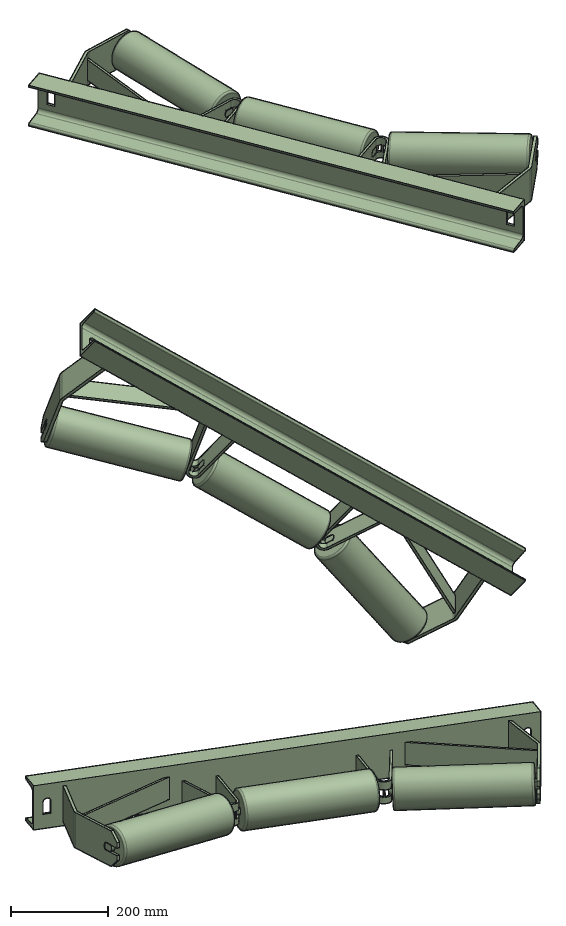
import cadquery as cq
import math

CHANNEL_LENGTH = 1100
CHANNEL_HEIGHT = 100.0
CHANNEL_DEPTH = 51.0
WEB = 6.0
FLANGE_TIP = 7.0
FLANGE_ROOT = 10.0
ROOT_RADIUS = 9.0
TIP_RADIUS = 4.0

WEB_SLOT_SPACING = 1042.0
WEB_SLOT_WIDTH = 18.0
WEB_SLOT_HEIGHT = 35.0

ROLLER_DIAMETER = 89.0
ROLLER_LENGTH = 292.0
RIM_RADIUS = 4.0
SHAFT_DIAMETER = 22
SHAFT_ACROSS_FLATS = 16.0
SHAFT_LENGTH = 309.0
MIDDLE_ROLLER_Y = 167.0
MIDDLE_ROLLER_Z = -14.0
SIDE_ROLLER_X = 322.0
SIDE_ROLLER_Y = 225.0
SIDE_ROLLER_Z = -8.0
TROUGH_ANGLE = 20
TILT_ANGLE = 2.6

OUTER_BRACKET_HEIGHT = 80.0
INNER_BRACKET_HEIGHT = 50.0
INNER_BRACKET_TOP = 12.0
OUTER_PLATE = 7.0
INNER_PLATE = 5.0
SHAFT_SLOT_REACH = 66
INNER_LEG_X = 152.0
INNER_BEND_RADIUS = 13.8
INNER_BEND_TOP = 189.0
OUTER_FOOT_X = 483.0
OUTER_BEND_X = 503.0
OUTER_BEND_Y = 177.0
OUTER_TIP_Y = 307.0
OUTER_BEND_INSIDE_RADIUS = 11
TIP_CHAMFER = 20.0

BRACE_HEIGHT = 51.0
BRACE = 5.0
BRACE_FOOT_X = 255.0

SIDES = (-1, 1)
trough = math.radians(TROUGH_ANGLE)
tilt = math.radians(TILT_ANGLE)


def make_channel():
    half = CHANNEL_HEIGHT / 2
    lower_half = [
        (CHANNEL_DEPTH, -half),
        (0, -half),
        (0, -half + FLANGE_TIP),
        (CHANNEL_DEPTH - WEB, -half + FLANGE_ROOT),
    ]
    upper_half = [(y, -z) for y, z in reversed(lower_half)]
    channel = (
        cq.Workplane("YZ")
        .polyline(lower_half + upper_half)
        .close()
        .extrude(CHANNEL_LENGTH / 2, both=True)
    )

    def edges_at(y, z):
        """The two lengthwise edges at y, above and below mid-height by z."""
        reach = 0.1
        lengthwise = cq.selectors.BoxSelector(
            (-CHANNEL_LENGTH, y - reach, -z - reach), (CHANNEL_LENGTH, y + reach, z + reach)
        )
        return channel.edges("|X").edges(lengthwise)

    channel = edges_at(CHANNEL_DEPTH - WEB, half - FLANGE_ROOT).fillet(ROOT_RADIUS)
    channel = edges_at(0, half - FLANGE_TIP).fillet(TIP_RADIUS)

    slot_radius = WEB_SLOT_WIDTH / 2
    shoulder = WEB_SLOT_HEIGHT / 2 - slot_radius
    for side in SIDES:
        slot = (
            cq.Workplane("XZ", origin=(side * WEB_SLOT_SPACING / 2, 0, 0))
            .moveTo(-slot_radius, -WEB_SLOT_HEIGHT / 2)
            .lineTo(slot_radius, -WEB_SLOT_HEIGHT / 2)
            .lineTo(slot_radius, shoulder)
            .threePointArc((0, WEB_SLOT_HEIGHT / 2), (-slot_radius, shoulder))
            .close()
            .extrude(-CHANNEL_DEPTH)
        )
        channel = channel.cut(slot)
    return channel


def roller_plane(side, reach):
    """Plane across a roller, reach before mid-length: X is the slot direction, the normal the axis."""
    if side == 0:
        return cq.Plane((-reach, MIDDLE_ROLLER_Y, MIDDLE_ROLLER_Z), (0, 1, 0), (1, 0, 0))
    axis = cq.Vector(
        side * math.cos(trough) * math.cos(tilt),
        math.sin(trough) * math.cos(tilt),
        math.sin(tilt),
    )
    slot_direction = (-side * math.sin(trough), math.cos(trough), 0)
    middle = cq.Vector(side * SIDE_ROLLER_X, SIDE_ROLLER_Y, SIDE_ROLLER_Z)
    return cq.Plane(middle - axis * reach, slot_direction, axis)


def make_flatted_bar(side, length, slot_reach=0):
    """Bar with two flats on a roller axis, its section lengthened by slot_reach in the slot direction."""
    radius = SHAFT_DIAMETER / 2
    flat = SHAFT_ACROSS_FLATS / 2
    corner = math.sqrt(radius**2 - flat**2)
    return (
        cq.Workplane(roller_plane(side, length / 2))
        .moveTo(-corner, flat)
        .threePointArc((-radius, 0), (-corner, -flat))
        .lineTo(slot_reach + corner, -flat)
        .threePointArc((slot_reach + radius, 0), (slot_reach + corner, flat))
        .close()
        .extrude(length)
    )


def make_slot_cutter(side):
    """Cutter for the open-ended slots that hold the two ends of a roller's shaft."""
    return make_flatted_bar(side, SHAFT_LENGTH + 2 * OUTER_PLATE, SHAFT_SLOT_REACH)


def make_roller(side):
    shell = (
        cq.Workplane(roller_plane(side, ROLLER_LENGTH / 2))
        .circle(ROLLER_DIAMETER / 2)
        .extrude(ROLLER_LENGTH)
        .edges()
        .fillet(RIM_RADIUS)
    )
    return shell.union(make_flatted_bar(side, SHAFT_LENGTH))


def make_inner_bracket(side):
    """Plate bent over a round top, with an upright leg and a leg square to the side roller."""
    bend_x = INNER_LEG_X + INNER_BEND_RADIUS
    bend_y = INNER_BEND_TOP - INNER_BEND_RADIUS
    outer_radius = INNER_BEND_RADIUS + INNER_PLATE / 2
    inner_radius = INNER_BEND_RADIUS - INNER_PLATE / 2

    def bend_end(radius):
        return (bend_x + radius * math.cos(trough), bend_y + radius * math.sin(trough))

    def foot(radius):
        x, y = bend_end(radius)
        return (x + (y - CHANNEL_DEPTH) * math.tan(trough), CHANNEL_DEPTH)

    bracket = (
        cq.Workplane("XY", origin=(0, 0, INNER_BRACKET_TOP))
        .moveTo(bend_x - outer_radius, CHANNEL_DEPTH)
        .lineTo(bend_x - outer_radius, bend_y)
        .threePointArc((bend_x, bend_y + outer_radius), bend_end(outer_radius))
        .lineTo(*foot(outer_radius))
        .lineTo(*foot(inner_radius))
        .lineTo(*bend_end(inner_radius))
        .threePointArc((bend_x, bend_y + inner_radius), (bend_x - inner_radius, bend_y))
        .lineTo(bend_x - inner_radius, CHANNEL_DEPTH)
        .close()
        .extrude(-INNER_BRACKET_HEIGHT)
    )
    if side < 0:
        bracket = bracket.mirror("YZ")
    for roller in (0, side):
        bracket = bracket.cut(make_slot_cutter(roller))
    return bracket


def outer_bracket_faces():
    """Corner points (foot, bend, tip) of the outside and the inside face."""
    lean = math.atan2(OUTER_BEND_X - OUTER_FOOT_X, OUTER_BEND_Y - CHANNEL_DEPTH)
    half_foot = OUTER_PLATE / 2 / math.cos(lean)
    half_turn = (trough + lean) / 2
    mitre = OUTER_PLATE / 2 / math.cos(half_turn)
    mitre_angle = (trough - lean) / 2
    tip_x = OUTER_BEND_X - (OUTER_TIP_Y - OUTER_BEND_Y) * math.tan(trough)

    def face(way):
        return [
            (OUTER_FOOT_X + way * half_foot, CHANNEL_DEPTH),
            (
                OUTER_BEND_X + way * mitre * math.cos(mitre_angle),
                OUTER_BEND_Y + way * mitre * math.sin(mitre_angle),
            ),
            (
                tip_x + way * OUTER_PLATE / 2 * math.cos(trough),
                OUTER_TIP_Y + way * OUTER_PLATE / 2 * math.sin(trough),
            ),
        ]

    return face(1), face(-1)


def make_outer_bracket(side):
    outside, inside = outer_bracket_faces()
    bracket = (
        cq.Workplane("XY")
        .polyline(outside + inside[::-1])
        .close()
        .extrude(OUTER_BRACKET_HEIGHT / 2, both=True)
    )
    bracket = bracket.edges("|Z").edges(">X").fillet(OUTER_BEND_INSIDE_RADIUS + OUTER_PLATE)
    bracket = bracket.edges("|Z").edges(cq.selectors.NearestToPointSelector((*inside[1], 0)))
    bracket = bracket.fillet(OUTER_BEND_INSIDE_RADIUS)
    across_tip = cq.Vector(math.cos(trough), math.sin(trough), 0)
    bracket = bracket.edges(cq.selectors.ParallelDirSelector(across_tip))
    bracket = bracket.chamfer(TIP_CHAMFER)
    if side < 0:
        bracket = bracket.mirror("YZ")
    return bracket.cut(make_slot_cutter(side))


def make_brace(side, bracket):
    slope = math.atan2(OUTER_BEND_Y - CHANNEL_DEPTH, OUTER_BEND_X - BRACE_FOOT_X)
    half_end = BRACE / 2 / math.cos(slope)
    brace = (
        cq.Workplane("XY")
        .polyline(
            [
                (BRACE_FOOT_X, CHANNEL_DEPTH),
                (OUTER_BEND_X, OUTER_BEND_Y + half_end),
                (OUTER_BEND_X, OUTER_BEND_Y - half_end),
                (BRACE_FOOT_X + BRACE / math.sin(slope), CHANNEL_DEPTH),
            ]
        )
        .close()
        .extrude(BRACE_HEIGHT / 2, both=True)
    )
    if side < 0:
        brace = brace.mirror("YZ")
    return brace.cut(bracket)


channel = make_channel()
rollers = [make_roller(side) for side in (-1, 0, 1)]
inner_brackets = [make_inner_bracket(side) for side in SIDES]
outer_brackets = [make_outer_bracket(side) for side in SIDES]
braces = [make_brace(side, bracket) for side, bracket in zip(SIDES, outer_brackets)]

bodies = [channel, *rollers, *inner_brackets, *outer_brackets, *braces]
result = cq.Compound.makeCompound([body.val() for body in bodies])